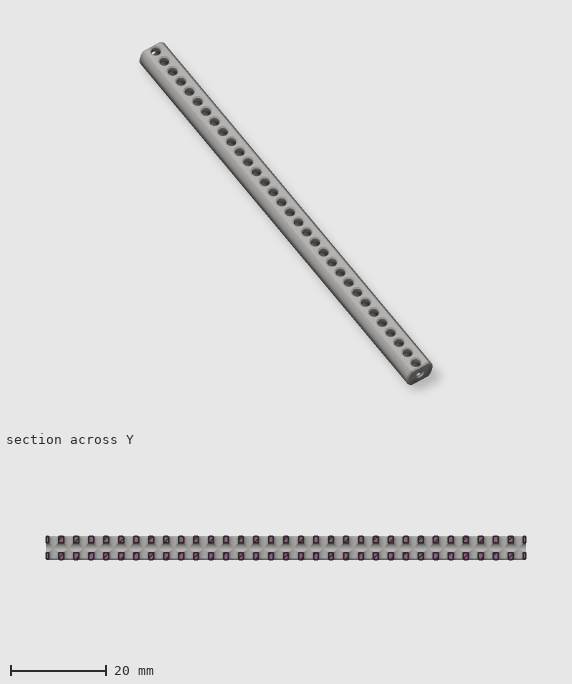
import cadquery as cq

length = 100.0
rod_diameter = 6.6
flat_height = 5.0
end_chamfer = 0.3

hole_count = 32
hole_diameter = 2.0
hole_chamfer = 0.3
bore_diameter = 2.0

hole_pitch = length / hole_count


def make_rod():
    """Round bar along X, chamfered at both ends and cut to two flats."""
    rod = cq.Workplane("YZ").circle(rod_diameter / 2).extrude(length / 2, both=True)
    envelope = cq.Workplane("XY").box(length, rod_diameter, flat_height)
    return rod.intersect(envelope).faces("<X or >X").chamfer(end_chamfer)


def make_cross_hole():
    """Vertical through-hole cutter, widened by a chamfer at each flat."""
    radius = hole_diameter / 2
    mouth_radius = radius + hole_chamfer
    half_height = flat_height / 2
    chamfer_start = half_height - hole_chamfer
    half_profile = [
        (0, -half_height),
        (mouth_radius, -half_height),
        (radius, -chamfer_start),
        (radius, chamfer_start),
        (mouth_radius, half_height),
        (0, half_height),
    ]
    return cq.Workplane("XZ").polyline(half_profile).close().revolve(360, (0, 0), (0, 1))


def make_bore():
    """Cutter for the lengthwise hole through the centre."""
    return cq.Workplane("YZ").circle(bore_diameter / 2).extrude(length / 2, both=True)


result = make_rod().cut(make_bore())

cross_hole = make_cross_hole()
for index in range(hole_count):
    hole_x = (index + 0.5) * hole_pitch - length / 2
    result = result.cut(cross_hole.translate((hole_x, 0, 0)))